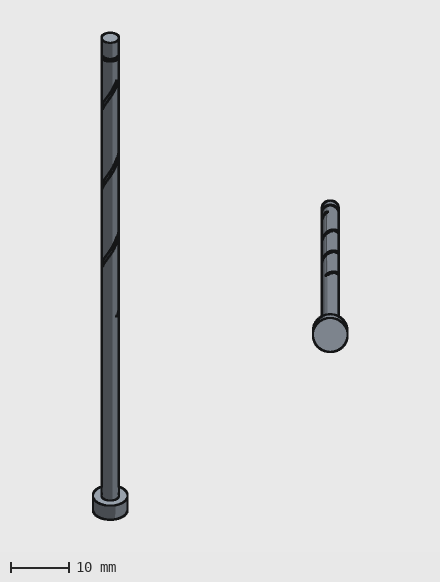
import cadquery as cq

total_length = 100.0
shaft_radius = 1.5
head_radius = 3.0
head_height = 3.0

ring_top = total_length - 3.4
ring_width = 0.6
ring_depth = 0.3

spiral_bottom = 41.5
spiral_length = 50.0
spiral_turns = 3
spiral_pitch = spiral_length / spiral_turns
spiral_groove_radius = 0.25


def make_pin():
    head = cq.Workplane("XY").circle(head_radius).extrude(head_height)
    shaft = cq.Workplane("XY").circle(shaft_radius).extrude(total_length)
    return head.union(shaft)


def make_ring_cutter():
    """Ring that leaves a thinner neck when cut from the shaft."""
    return (
        cq.Workplane("XY", origin=(0, 0, ring_top - ring_width))
        .circle(head_radius)
        .circle(shaft_radius - ring_depth)
        .extrude(ring_width)
    )


def make_spiral_cutter():
    """Round wire wound around the shaft, centred on its surface."""
    helix = cq.Wire.makeHelix(spiral_pitch, spiral_length, shaft_radius)
    path_start = helix.startPoint()
    path_direction = helix.tangentAt(0)
    section_plane = cq.Plane(origin=path_start, xDir=(1, 0, 0), normal=path_direction)
    cutter = (
        cq.Workplane(section_plane)
        .circle(spiral_groove_radius)
        .sweep(cq.Workplane(obj=helix), isFrenet=True)
    )
    return cutter.translate((0, 0, spiral_bottom))


result = make_pin().cut(make_ring_cutter()).cut(make_spiral_cutter())